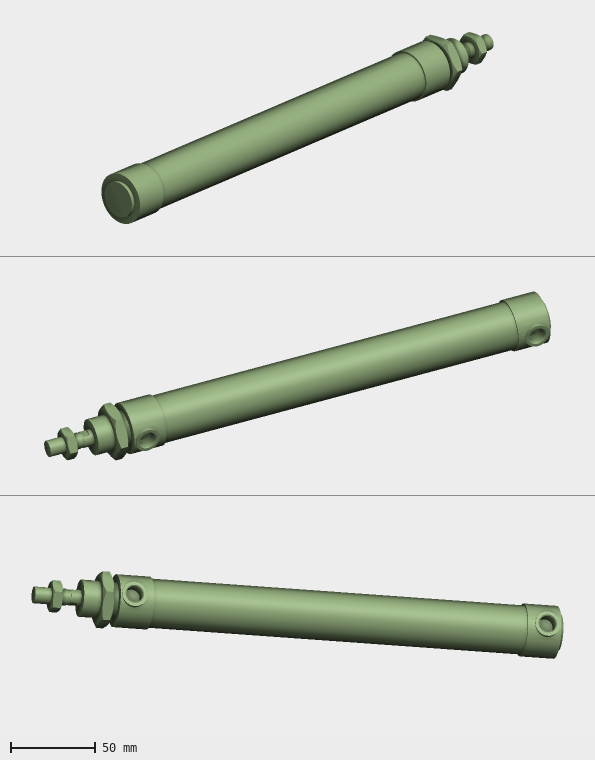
import cadquery as cq
import math

total_length = 320.5
rear_boss_length = 2.2
head_length = 20.5
front_head_face = 271.0
nose_length = 21.0
nose_face = front_head_face + nose_length

head_diameter = 31.5
tube_diameter = 29.2
nose_diameter = 22.0

port_boss_diameter = 15.0
port_reach = 16.5
port_mouth_diameter = 11.2
port_bore_diameter = 10.0
port_bevel = (port_mouth_diameter - port_bore_diameter) / 2
port_depth = 8.0
port_from_front_face = 8.3
port_from_rear_face = 8.5

rod_diameter = 10.0
rod_socket_depth = nose_length
neck_diameter = 9.3
neck_length = 2.0
thread_length = 20.0
flats_width = 8.0
flats_length = 4.2

rod_nut_corners = 19.5
rod_nut_thickness = 6.0
rod_nut_start = 304.5
mount_nut_corners = 34.5
mount_nut_thickness = 7.0
mount_nut_start = 274.7
nut_bevel_angle = 30.0
bevel_circle_ratio = 0.98


def rod_along_y(diameter, start, end):
    """Solid cylinder on the Y axis between two stations."""
    plane = cq.Plane(origin=(0, start, 0), xDir=(1, 0, 0), normal=(0, 1, 0))
    return cq.Workplane(plane).circle(diameter / 2).extrude(end - start)


def port_cylinder(diameter, station, depth):
    """Radial cylinder reaching inward from the port face."""
    plane = cq.Plane(origin=(-port_reach, station, 0), xDir=(0, 1, 0), normal=(1, 0, 0))
    return cq.Workplane(plane).circle(diameter / 2).extrude(depth)


def port_opening(station):
    """Blind port bore with a 45 degree bevel at its mouth."""
    bore = port_cylinder(port_bore_diameter, station, port_depth)
    plane = cq.Plane(origin=(-port_reach, station, 0), xDir=(0, 1, 0), normal=(1, 0, 0))
    bevel = (
        cq.Workplane(plane)
        .circle(port_mouth_diameter / 2)
        .workplane(offset=port_bevel)
        .circle(port_bore_diameter / 2)
        .loft()
    )
    return bore.union(bevel)


def make_housing():
    """Tube with two heads, end bosses, air ports and a socket for the rod."""
    nose = rod_along_y(nose_diameter, front_head_face, nose_face)
    rear_boss = rod_along_y(nose_diameter, 0, rear_boss_length)
    rear_head = rod_along_y(head_diameter, rear_boss_length, rear_boss_length + head_length)
    front_head = rod_along_y(head_diameter, front_head_face - head_length, front_head_face)
    tube = rod_along_y(tube_diameter, rear_boss_length, front_head_face)
    body = tube.union(rear_head).union(front_head).union(nose).union(rear_boss)

    port_stations = (rear_boss_length + port_from_rear_face, front_head_face - port_from_front_face)
    for station in port_stations:
        body = body.union(port_cylinder(port_boss_diameter, station, port_reach))
        body = body.cut(port_opening(station))

    return body.cut(rod_along_y(rod_diameter, nose_face - rod_socket_depth, nose_face))


def make_rod():
    """Piston rod with wrench flats, a relief neck and a plain cylinder for the thread."""
    thread_start = total_length - thread_length
    neck_start = thread_start - neck_length
    shank = rod_along_y(rod_diameter, nose_face - rod_socket_depth, neck_start)
    neck = rod_along_y(neck_diameter, neck_start, thread_start)
    thread = rod_along_y(rod_diameter, thread_start, total_length)

    flats_center = neck_start - flats_length / 2
    flats_zone = cq.Workplane("XY").box(rod_diameter, flats_length, rod_diameter)
    kept_core = cq.Workplane("XY").box(rod_diameter, flats_length, flats_width)
    flats_waste = flats_zone.cut(kept_core).translate((0, flats_center, 0))
    return shank.cut(flats_waste).union(neck).union(thread)


def make_nut(corners, thickness, bore, start):
    """Hexagon nut with its corners beveled by a cone at both ends."""
    flats = corners * math.cos(math.radians(30))
    plane = cq.Plane(origin=(0, start, 0), xDir=(1, 0, 0), normal=(0, 1, 0))
    hexagon = cq.Workplane(plane).polygon(6, corners).extrude(thickness)

    end_radius = flats * bevel_circle_ratio / 2
    bevel_height = (corners / 2 - end_radius) * math.tan(math.radians(nut_bevel_angle))
    bevel_envelope = (
        cq.Workplane("XY")
        .moveTo(0, start)
        .lineTo(end_radius, start)
        .lineTo(corners / 2, start + bevel_height)
        .lineTo(corners / 2, start + thickness - bevel_height)
        .lineTo(end_radius, start + thickness)
        .lineTo(0, start + thickness)
        .close()
        .revolve(360, (0, 0, 0), (0, 1, 0))
    )
    return hexagon.intersect(bevel_envelope).cut(rod_along_y(bore, start, start + thickness))


housing = make_housing()
piston_rod = make_rod()
rod_nut = make_nut(rod_nut_corners, rod_nut_thickness, rod_diameter, rod_nut_start)
mount_nut = make_nut(mount_nut_corners, mount_nut_thickness, nose_diameter, mount_nut_start)

result = cq.Compound.makeCompound([housing.val(), piston_rod.val(), rod_nut.val(), mount_nut.val()])